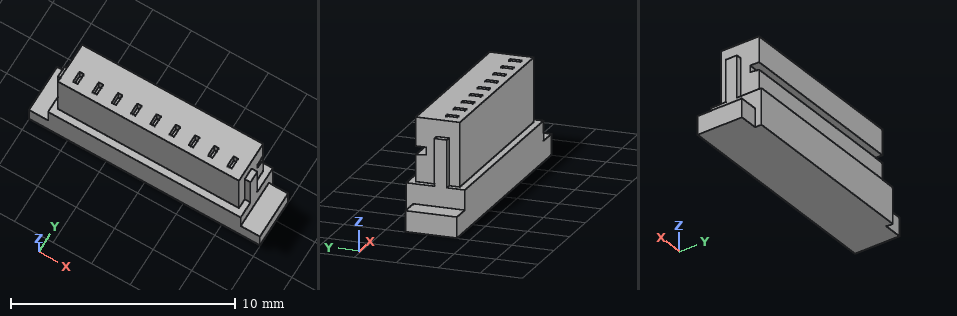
import cadquery as cq

BASE_LENGTH = 10.0
BASE_DEPTH = 2.8
BASE_HEIGHT = 1.95

OVERALL_LENGTH = 12.0
EAR_DEPTH = 2.45
EAR_HEIGHT = 1.0

OVERALL_HEIGHT = 5.0
HOUSING_LENGTH = 9.4
HOUSING_FRONT = 0.35
HOUSING_BACK = EAR_DEPTH

RIB_FRONT = 0.85
RIB_WIDTH = 0.6
RIB_TOP = 4.2

GROOVE_BOTTOM = 3.22
GROOVE_TOP = 3.62
GROOVE_DEPTH = 0.49
GROOVE_SLOPE_RISE = 0.05

SLOT_COUNT = 9
SLOT_PITCH = 1.0
SLOT_LENGTH = 0.23
SLOT_FRONT = 0.7
SLOT_WIDTH = 0.55
SLOT_DEPTH = 0.5


def centred_block(length, front, back, bottom, top):
    """Block centred on x = 0 between the given y and z limits."""
    block = cq.Workplane("XY").box(length, back - front, top - bottom, centered=(True, False, False))
    return block.translate((0, front, bottom))


def make_body():
    base = centred_block(BASE_LENGTH, 0, BASE_DEPTH, 0, BASE_HEIGHT)
    ears = centred_block(OVERALL_LENGTH, 0, EAR_DEPTH, 0, EAR_HEIGHT)
    housing = centred_block(HOUSING_LENGTH, HOUSING_FRONT, HOUSING_BACK, 0, OVERALL_HEIGHT)
    return base.union(ears).union(housing)


def make_ribs():
    """One bar through the housing whose ends form both guide ribs."""
    return centred_block(BASE_LENGTH, RIB_FRONT, RIB_FRONT + RIB_WIDTH, 0, RIB_TOP)


def make_latch_groove():
    """Full-length groove whose lower wall slopes slightly up towards the inside."""
    groove_floor = HOUSING_BACK - GROOVE_DEPTH
    profile = [
        (HOUSING_BACK, GROOVE_BOTTOM),
        (groove_floor, GROOVE_BOTTOM + GROOVE_SLOPE_RISE),
        (groove_floor, GROOVE_TOP),
        (HOUSING_BACK, GROOVE_TOP),
    ]
    groove = cq.Workplane("YZ").polyline(profile).close()
    return groove.extrude(HOUSING_LENGTH / 2, both=True)


def make_contact_slots():
    slot = centred_block(
        SLOT_LENGTH,
        SLOT_FRONT,
        SLOT_FRONT + SLOT_WIDTH,
        OVERALL_HEIGHT - SLOT_DEPTH,
        OVERALL_HEIGHT,
    )
    first_slot_x = -SLOT_PITCH * (SLOT_COUNT - 1) / 2
    slots = cq.Workplane("XY")
    for index in range(SLOT_COUNT):
        slots = slots.add(slot.translate((first_slot_x + index * SLOT_PITCH, 0, 0)))
    return slots.combine()


result = make_body().union(make_ribs()).cut(make_latch_groove()).cut(make_contact_slots())